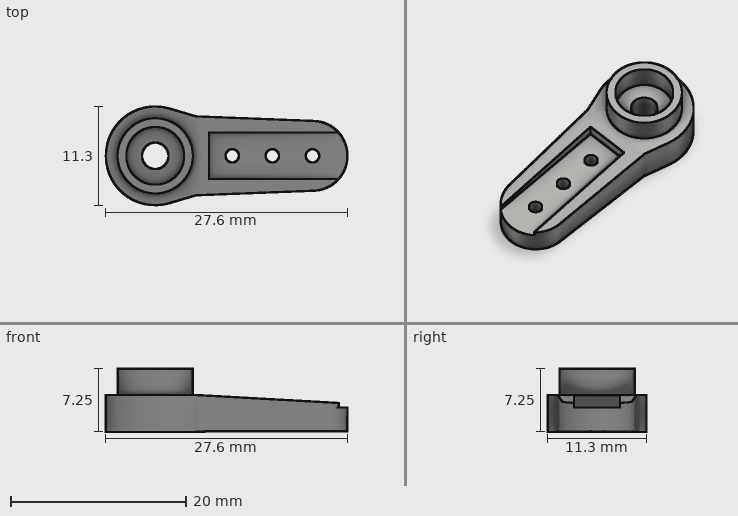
import cadquery as cq
import math

hub_radius = 5.65
hub_height = 4.25
collar_diameter = 8.6
collar_bore_diameter = 6.6
collar_height = 3.0
collar_bore_depth = 3.0
screw_hole_diameter = 3.0

arm_start_x = 4.63
arm_start_half_width = 4.52
arm_bottom_z = 0.08
arm_top_slope = 0.056
tip_radius = 4.0
overall_length = 27.6
tip_x = overall_length - hub_radius
tip_center_x = tip_x - tip_radius

slot_start_x = 6.12
slot_width = 5.27
slot_floor_z = 2.82
link_hole_diameter = 1.5
link_hole_count = 3
link_hole_spacing = 4.58
last_link_hole_x = tip_center_x


def tangent_point(center_x, radius, outside_x, outside_y, side):
    """Point where a line from an outside point touches a circle centred on the X axis.

    side is +1 to turn anticlockwise from the outside point, -1 to turn clockwise.
    """
    offset_x = outside_x - center_x
    distance = math.hypot(offset_x, outside_y)
    angle = math.atan2(outside_y, offset_x) + side * math.acos(radius / distance)
    return center_x + radius * math.cos(angle), radius * math.sin(angle)


def make_hub():
    """Disc with two flares tangent to it that lead into the arm."""
    disc = cq.Workplane("XY").circle(hub_radius).extrude(hub_height)
    flare_x, flare_y = tangent_point(0, hub_radius, arm_start_x, arm_start_half_width, 1)
    flare = (
        cq.Workplane("XY")
        .moveTo(0, 0)
        .lineTo(flare_x, flare_y)
        .lineTo(arm_start_x, arm_start_half_width)
        .lineTo(arm_start_x, -arm_start_half_width)
        .lineTo(flare_x, -flare_y)
        .close()
        .extrude(hub_height)
    )
    foot = cq.Workplane("XY").circle(hub_radius).extrude(arm_bottom_z)
    beyond_arm_start = (
        cq.Workplane("XY")
        .box(hub_radius, 2 * hub_radius, hub_height, centered=(False, True, False))
        .translate((arm_start_x, 0, 0))
    )
    return disc.cut(beyond_arm_start).union(flare).union(foot)


def make_arm():
    """Tapered, round-ended outline trimmed by the sloping top face."""
    side_x, side_y = tangent_point(tip_center_x, tip_radius, arm_start_x, arm_start_half_width, -1)
    outline = (
        cq.Workplane("XY")
        .workplane(offset=arm_bottom_z)
        .moveTo(arm_start_x, -arm_start_half_width)
        .lineTo(side_x, -side_y)
        .threePointArc((tip_x, 0), (side_x, side_y))
        .lineTo(arm_start_x, arm_start_half_width)
        .close()
        .extrude(hub_height - arm_bottom_z)
    )
    tip_top_z = hub_height - arm_top_slope * (tip_x - arm_start_x)
    side_profile = (
        cq.Workplane("XZ")
        .moveTo(arm_start_x, 0)
        .lineTo(tip_x, 0)
        .lineTo(tip_x, tip_top_z)
        .lineTo(arm_start_x, hub_height)
        .close()
        .extrude(hub_radius, both=True)
    )
    return outline.intersect(side_profile)


def make_collar():
    """Raised ring around the hub axis, before boring."""
    return cq.Workplane("XY").workplane(offset=hub_height).circle(collar_diameter / 2).extrude(collar_height)


def make_hub_bore():
    """Collar bore and the screw hole through its floor."""
    top_z = hub_height + collar_height
    bore = (
        cq.Workplane("XY")
        .workplane(offset=top_z - collar_bore_depth)
        .circle(collar_bore_diameter / 2)
        .extrude(collar_bore_depth)
    )
    screw_hole = cq.Workplane("XY").circle(screw_hole_diameter / 2).extrude(top_z)
    return bore.union(screw_hole)


def make_slot():
    """Flat-floored slot, open at the arm tip."""
    return (
        cq.Workplane("XY")
        .box(tip_x - slot_start_x, slot_width, hub_height - slot_floor_z, centered=(False, True, False))
        .translate((slot_start_x, 0, slot_floor_z))
    )


def make_link_holes():
    """Row of through holes, counted back from the tip."""
    centers = [(last_link_hole_x - i * link_hole_spacing, 0) for i in range(link_hole_count)]
    return cq.Workplane("XY").pushPoints(centers).circle(link_hole_diameter / 2).extrude(hub_height)


body = make_hub().union(make_arm()).union(make_collar())
result = body.cut(make_hub_bore()).cut(make_slot()).cut(make_link_holes())